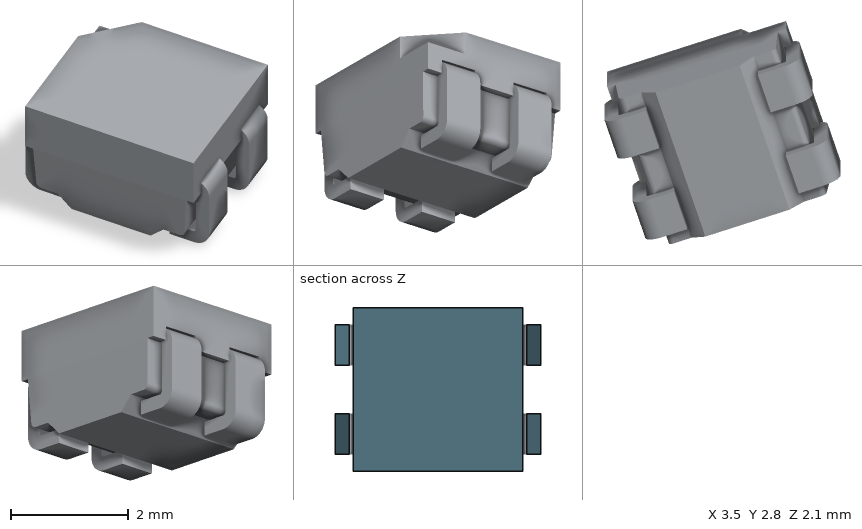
import cadquery as cq
import math

total_length = 3.5
total_height = 2.1

rim_length = 3.205
rim_width = 2.8
rim_height = 0.905
rim_bottom = total_height - rim_height
base_top_length = 2.905
base_draft = 3.0
base_bottom = 0.05
shoulder_height = 0.305
shoulder_fillet = 0.1
keel_length = 1.505
slope_rise = shoulder_height - base_bottom

notch_leg = 0.805
notch_depth = 0.41

lens_diameter = 2.335
lens_depth = 0.4

lead_width = 0.7
lead_spacing = 1.51
lead_thickness = 0.25
lead_inner_radius = 0.05
lead_outer_radius = lead_inner_radius + lead_thickness
lead_arm_length = 0.75
lead_height = rim_bottom + lead_thickness
lead_inner_end = total_length / 2 - lead_arm_length


def box_between(x_min, x_max, y_center, y_size, z_min, z_max):
    """Box given by its X and Z limits and its centre and size along Y."""
    return (
        cq.Workplane("XY", origin=((x_min + x_max) / 2, y_center, z_min))
        .rect(x_max - x_min, y_size)
        .extrude(z_max - z_min)
    )


def make_lead(side, y_center):
    """One C-shaped lead; side is -1 for the -X end and +1 for the +X end."""
    outer = box_between(
        -total_length / 2, -lead_inner_end, y_center, lead_width, 0, lead_height
    ).edges("|Y and <X").fillet(lead_outer_radius)
    opening = box_between(
        -total_length / 2 + lead_thickness, -lead_inner_end,
        y_center, lead_width, lead_thickness, rim_bottom,
    ).edges("|Y and <X").fillet(lead_inner_radius)
    lead = outer.cut(opening)
    if side > 0:
        lead = lead.mirror("YZ")
    return lead


def make_lens():
    return (
        cq.Workplane("XY", origin=(0, 0, total_height - lens_depth))
        .circle(lens_diameter / 2)
        .extrude(lens_depth)
    )


def make_base():
    """Base drafted on every side, with rounded shoulders and a sloped keel."""
    base_height = rim_bottom - base_bottom
    drafted_block = (
        cq.Workplane("XY", origin=(0, 0, rim_bottom))
        .rect(base_top_length, rim_width)
        .extrude(-base_height, taper=base_draft)
    )
    for side in (-1, 1):
        keel_edge = side * keel_length / 2
        slope_top = keel_edge + side * slope_rise
        outside = side * total_length / 2
        shoulder = (
            cq.Workplane("XZ")
            .moveTo(keel_edge, base_bottom)
            .lineTo(slope_top, shoulder_height)
            .lineTo(outside, shoulder_height)
            .lineTo(outside, base_bottom)
            .close()
            .extrude(rim_width / 2, both=True)
        )
        drafted_block = drafted_block.cut(shoulder)

    draft_inset = (rim_bottom - shoulder_height) * math.tan(math.radians(base_draft))
    shoulder_end = base_top_length / 2 - draft_inset
    for side in (-1, 1):
        shoulder_edge = cq.NearestToPointSelector((side * shoulder_end, 0, shoulder_height))
        drafted_block = drafted_block.edges(shoulder_edge).fillet(shoulder_fillet)
    return drafted_block


def make_corner_notch():
    """Triangular prism that removes the upper (-X, +Y) corner of the rim."""
    corner_x = -rim_length / 2
    corner_y = rim_width / 2
    return (
        cq.Workplane("XY", origin=(0, 0, total_height - notch_depth))
        .moveTo(corner_x, corner_y)
        .lineTo(corner_x + notch_leg, corner_y)
        .lineTo(corner_x, corner_y - notch_leg)
        .close()
        .extrude(notch_depth)
    )


def make_lead_slot(side, y_center):
    """Rectangular slot in the rim that holds the upper arm of one lead."""
    slot = box_between(
        -rim_length / 2, -lead_inner_end, y_center, lead_width, rim_bottom, lead_height
    )
    if side > 0:
        slot = slot.mirror("YZ")
    return slot


lead_places = [(side, row * lead_spacing / 2) for side in (-1, 1) for row in (-1, 1)]


def make_housing():
    rim = box_between(-rim_length / 2, rim_length / 2, 0, rim_width, rim_bottom, total_height)
    body = rim.union(make_base()).cut(make_corner_notch()).cut(make_lens())
    for side, y_center in lead_places:
        body = body.cut(make_lead_slot(side, y_center))
    return body


housing = make_housing()
lens = make_lens()
leads = [make_lead(side, y_center) for side, y_center in lead_places]

result = cq.Compound.makeCompound([housing.val(), lens.val(), *[lead.val() for lead in leads]])